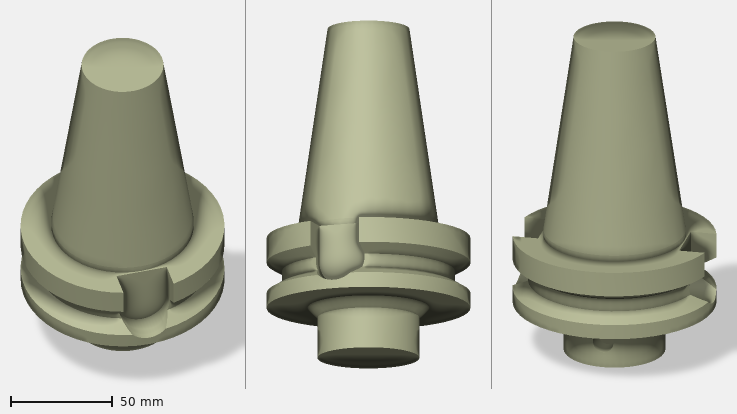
import cadquery as cq
import math

total_height = 164.8

taper_length = 101.8
taper_ratio = 7 / 24
gauge_radius = 69.85 / 2
tip_radius = gauge_radius - taper_length * taper_ratio / 2
gauge_z = total_height - taper_length

flange_radius = 100 / 2
gauge_gap = 3
flange_top_z = gauge_z - gauge_gap
flange_bottom_z = 25

groove_flank_angle = 30
groove_center_z = 40
groove_floor_width = 6.5
groove_floor_radius = 42.5
groove_flank_height = (flange_radius - groove_floor_radius) * math.tan(math.radians(groove_flank_angle))
groove_floor_low_z = groove_center_z - groove_floor_width / 2
groove_floor_high_z = groove_center_z + groove_floor_width / 2

nose_radius = 50 / 2
nose_cone_height = 5
nose_top_z = flange_bottom_z - nose_cone_height
nose_cone_radius = nose_radius + nose_cone_height

slot_width = 25.5
slot_floor_x = 35.5
slot_bottom_z = 29.2
slot_arc_z = slot_bottom_z + slot_width / 2

screw_diameter = 10.3
screw_z = 13
screw_depth = 11


def make_body():
    """Revolve the half section of the holder about the Z axis."""
    profile = [
        (0, 0),
        (nose_radius, 0),
        (nose_radius, nose_top_z),
        (nose_cone_radius, flange_bottom_z),
        (flange_radius, flange_bottom_z),
        (flange_radius, groove_floor_low_z - groove_flank_height),
        (groove_floor_radius, groove_floor_low_z),
        (groove_floor_radius, groove_floor_high_z),
        (flange_radius, groove_floor_high_z + groove_flank_height),
        (flange_radius, flange_top_z),
        (gauge_radius, flange_top_z),
        (gauge_radius, gauge_z),
        (tip_radius, total_height),
        (0, total_height),
    ]
    return cq.Workplane("XZ").polyline(profile).close().revolve(360, (0, 0), (0, 1))


def make_key_slot(side):
    """Round-bottomed slot cutter; side is +1 for +X and -1 for -X."""
    return (
        cq.Workplane("YZ", origin=(side * slot_floor_x, 0, 0))
        .moveTo(-slot_width / 2, flange_top_z)
        .lineTo(-slot_width / 2, slot_arc_z)
        .threePointArc((0, slot_bottom_z), (slot_width / 2, slot_arc_z))
        .lineTo(slot_width / 2, flange_top_z)
        .close()
        .extrude(side * (flange_radius - slot_floor_x))
    )


def make_screw_hole():
    """Blind radial cutter entering the nose from +Y."""
    return (
        cq.Workplane("XZ", origin=(0, nose_radius, screw_z))
        .circle(screw_diameter / 2)
        .extrude(screw_depth)
    )


result = make_body()
for slot_side in (-1, 1):
    result = result.cut(make_key_slot(slot_side))
result = result.cut(make_screw_hole())